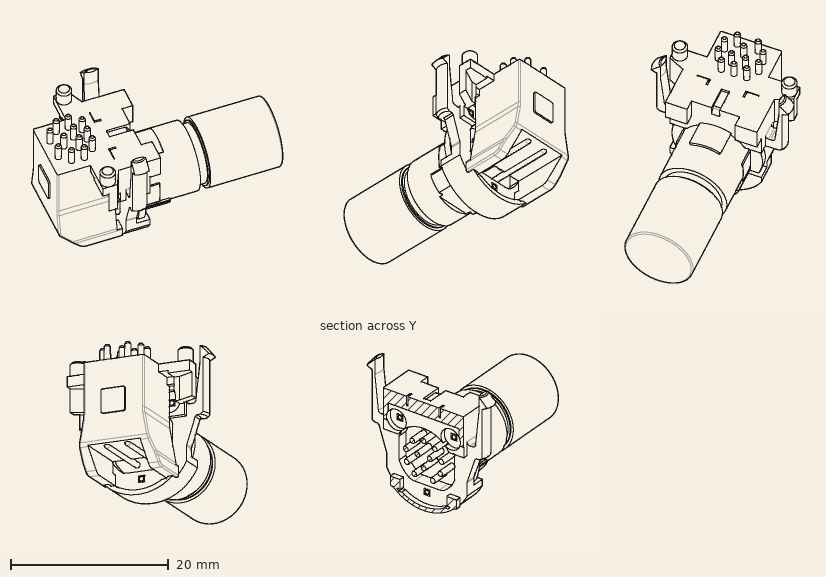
import cadquery as cq
import math


TOTAL_LENGTH = 30.8
TOTAL_WIDTH = 19.2
PAD_FRONT_Y = -0.15

SHELL_R = 4.68
COLLAR_R = 6.22
STEP_R = 4.3
STEP_LENGTH = 0.2
GROOVE_R = 4.0
SHELL_END_Y = PAD_FRONT_Y + TOTAL_LENGTH
BARREL_Y = 20.75
BODY_Y = 19.37
SHELL_FRONT_Y = 10.4
SHELL_EDGE = 0.2
FLAT_Z = -4.0
FLAT_END_Y = 15.85
KEY_R = 5.05
KEY_HALF_X = 4.6
KEY_FRONT_Y = 11.33
RIB_HALF_X = 2.2
RIB_ROOT_HALF_X = 1.9
RIB_ROOT_Z = 4.22
RIB_SIDE_Z = 4.62
RIB_END_Y = 15.35
SIDE_KEY_END_Y = 13.85
SIDE_KEY_HALF_Z = 1.65
LOWER_KEY_Z = -1.95

BRACKET_TOP_Z = 8.53
BRACKET_BOTTOM_Z = 2.5
BRACKET_HALF_X = 6.28
BRACKET_FRONT_Y = 7.85
BRACKET_BACK_Y = 11.85
OVERHANG_END_Y = 13.3
OVERHANG_Z = 5.48
OVERHANG_INNER_X = 3.3
TOP_SLOT_HALF_X = 0.55
TOP_SLOT_FLOOR = ((8.62, 8.15), (11.2, 8.15), (11.43, 7.95), (BRACKET_BACK_Y, 7.25))
EAR_HALF_X = 8.5
EAR_FRONT_Y = 4.55
EAR_BACK_Y = 6.53
EAR_ROOT_Y = 7.58
EAR_Z = 7.15
LEG_Z = 4.0
LEG_THICKNESS = 1.15
RELIEF_HALF_X = 5.5
RELIEF_STEP_Y = 7.15
RELIEF_STEP_Z = 6.5
RELIEF_TOP_Z = 7.48

FLANGE_R = 7.0
FLANGE_AXIS_Z = -0.37
FLANGE_FRONT_Y = 8.55
FLANGE_BACK_Y = 10.05
FLANGE_TOP_HALF_X = 7.7
FLANGE_SLOPE_HALF_X = 7.48
FLANGE_SLOPE_Z = 2.28
FLANGE_SIDE_R = 0.62
OPENING_HALF_X = 4.35
OPENING_R = 1.55
FLANGE_SIDE_Z = -1.4
FLANGE_STEP_Z = -BRACKET_BOTTOM_Z
RIM_FRONT_Y = 7.6
RIM_INNER_R = 6.35
RIM_TOP_Z = -5.48
RIM_CUT_Z = -5.75
RIM_CUT_HALF_X = 3.85

SOCKET_SIDE = 0.85
SOCKET_DEPTH = 0.3
PEG_R = 0.3
POCKET_R = 1.5
POCKET_X = 4.22
POCKET_Z = 4.5
LOWER_SOCKET_Z = -5.02

PLUG_FRONT_Y = 0.05
PLUG_HALF_X = 4.22
PLUG_FOOT_HALF_X = 5.17
PLUG_BACK_Y = 7.82
PLUG_BEND_Z = 1.25
PLUG_FOOT_Z = FLAT_Z
PLUG_BOTTOM_Z = RIM_TOP_Z
PLUG_SLOPE_Z = -2.4
PLUG_BEND_R = 4.62
PLUG_FOOT_R = 2.15
SLOPE_TOP_R = 0.8
SLOPE_BOTTOM_R = 1.4
PLUG_EDGE = 0.22
PLUG_SLOT_HALF_X = 3.63
PLUG_SLOT_Z = FLANGE_STEP_Z
JOINT_GAP = 0.077
JOINT_DEPTH = 1.4
TONGUE_HALF_X = 2.43
TONGUE_GAP = 0.22
TONGUE_END_Y = 8.65
PAD_HALF_X = 1.65
PAD_Z = (1.4, 4.62)
PAD_CORNER = 0.28

CONTACT_R = 0.4
CONTACT_TOP_Z = 10.87
CONTACT_TIP = 0.28
CONTACT_TIP_R = 0.23
OUTER_RING_R = 2.85
OUTER_PITCH = 37.5
INNER_RING_R = 1.1
ROW_Y = (1.3, 2.62, 4.3, 5.8)

GUIDE_R = 1.0
GUIDE_X = EAR_HALF_X - GUIDE_R
GUIDE_Y = 5.6
GUIDE_TOP_Z = 10.47
GUIDE_CHAMFER = 0.28

LATCH_HALF_Y = 1.0
LATCH_Y = FLANGE_FRONT_Y + LATCH_HALF_Y
LATCH_AXIS_X = 7.25
LATCH_OUTER_X = 8.9
BARB_X = TOTAL_WIDTH / 2
BARB_Z = 10.4
BARB_BASE_Z = 10.0
BARB_TOP = (8.6, 11.6)
LATCH_TOP_X = 8.38
LATCH_TOP_Z = 11.7
LATCH_EDGE = 0.3
LATCH_INNER_AXIS_X = 9.92
LATCH_INNER_TOP_X = 7.9
LATCH_INNER_ROOT_X = 7.4
LATCH_TAPER_Z = 9.55
LATCH_BASE_Z = 4.07
LATCH_BASE_R = 0.43


def box(x0, x1, y0, y1, z0, z1):
    return cq.Workplane("XY").box(x1 - x0, y1 - y0, z1 - z0, centered=False).translate((x0, y0, z0))


def centred_box(half_x, y0, y1, z0, z1):
    return box(-half_x, half_x, y0, y1, z0, z1)


def rod_y(radius, y0, y1, x=0, z=0):
    return cq.Workplane("XZ", origin=(x, y0, z)).circle(radius).extrude(y0 - y1)


def prism_y(outline, y0, y1):
    """Extrude an outline of (x, z) points from y0 to y1."""
    return cq.Workplane("XZ", origin=(0, y0, 0)).polyline(outline).close().extrude(y0 - y1)


def prism_z(outline, z0, z1):
    """Extrude an outline of (x, y) points from z0 to z1."""
    return cq.Workplane("XY", origin=(0, 0, z0)).polyline(outline).close().extrude(z1 - z0)


def mirrored(half):
    """The half on the +X side, and its mirror image."""
    return half.union(half.mirror("YZ"))


def symmetric_outline(right_side):
    return right_side + [(-x, v) for x, v in reversed(right_side)]


def shell():
    barrel = rod_y(SHELL_R, BARREL_Y, SHELL_END_Y).faces(">Y").edges().fillet(SHELL_EDGE)
    neck = rod_y(GROOVE_R, BODY_Y, BARREL_Y)
    step = rod_y(STEP_R, BARREL_Y - STEP_LENGTH, BARREL_Y)
    collar = rod_y(COLLAR_R, SHELL_FRONT_Y, KEY_FRONT_Y)
    body = rod_y(SHELL_R, KEY_FRONT_Y, BODY_Y)
    key_ring = rod_y(KEY_R, KEY_FRONT_Y, RIB_END_Y)
    rib_outline = symmetric_outline(
        [(RIB_ROOT_HALF_X, RIB_ROOT_Z), (RIB_HALF_X, RIB_SIDE_Z), (RIB_HALF_X, KEY_R)]
    )
    rib = key_ring.intersect(prism_y(rib_outline, KEY_FRONT_Y, RIB_END_Y))
    lower_keys = key_ring.intersect(centred_box(KEY_HALF_X, KEY_FRONT_Y, RIB_END_Y, -KEY_R, LOWER_KEY_Z))
    side_zone = centred_box(KEY_R, KEY_FRONT_Y, SIDE_KEY_END_Y, -SIDE_KEY_HALF_Z, SIDE_KEY_HALF_Z)
    side_keys = centred_box(KEY_HALF_X, KEY_FRONT_Y, SIDE_KEY_END_Y, -SIDE_KEY_HALF_Z, SIDE_KEY_HALF_Z)
    body = body.cut(side_zone).union(side_keys).union(rib).union(lower_keys)
    underside = centred_box(KEY_R, KEY_FRONT_Y, FLAT_END_Y, -KEY_R, FLAT_Z)
    return barrel.union(step).union(neck).union(body.cut(underside)).union(collar)


def bracket():
    block = centred_box(BRACKET_HALF_X, BRACKET_FRONT_Y, BRACKET_BACK_Y, BRACKET_BOTTOM_Z, BRACKET_TOP_Z)
    overhang = box(
        OVERHANG_INNER_X, BRACKET_HALF_X, BRACKET_FRONT_Y, OVERHANG_END_Y, OVERHANG_Z, BRACKET_TOP_Z
    )
    ear = [
        (0, BRACKET_FRONT_Y),
        (BRACKET_HALF_X, BRACKET_FRONT_Y),
        (BRACKET_HALF_X, EAR_ROOT_Y),
        (EAR_HALF_X, EAR_BACK_Y),
        (EAR_HALF_X, EAR_FRONT_Y),
        (0, EAR_FRONT_Y),
    ]
    leg_root_y = EAR_ROOT_Y - LEG_THICKNESS
    leg = [
        (0, BRACKET_FRONT_Y),
        (BRACKET_HALF_X, BRACKET_FRONT_Y),
        (BRACKET_HALF_X, EAR_ROOT_Y),
        (EAR_HALF_X, EAR_BACK_Y),
        (EAR_HALF_X, EAR_BACK_Y - LEG_THICKNESS),
        (BRACKET_HALF_X, leg_root_y),
        (0, leg_root_y),
    ]
    side = prism_z(ear, EAR_Z, BRACKET_TOP_Z).union(prism_z(leg, LEG_Z, EAR_Z)).union(overhang)
    body = block.union(mirrored(side))
    body = body.cut(
        centred_box(RELIEF_HALF_X, EAR_FRONT_Y, BRACKET_FRONT_Y, BRACKET_BOTTOM_Z, RELIEF_STEP_Z)
    )
    body = body.cut(
        centred_box(RELIEF_HALF_X, EAR_FRONT_Y, RELIEF_STEP_Y, RELIEF_STEP_Z, RELIEF_TOP_Z)
    )
    slot_mouth = [(BRACKET_BACK_Y, BRACKET_TOP_Z), (TOP_SLOT_FLOOR[0][0], BRACKET_TOP_Z)]
    slot = (
        cq.Workplane("YZ")
        .polyline(list(TOP_SLOT_FLOOR) + slot_mouth)
        .close()
        .extrude(TOP_SLOT_HALF_X, both=True)
    )
    return body.cut(slot)


def flange():
    disc = rod_y(FLANGE_R, RIM_FRONT_Y, BRACKET_BACK_Y, z=FLANGE_AXIS_Z)
    bottom = FLANGE_AXIS_Z - FLANGE_R
    lower = disc.intersect(
        centred_box(BRACKET_HALF_X, FLANGE_FRONT_Y, BRACKET_BACK_Y, bottom, FLANGE_STEP_Z)
    )
    shoulders = prism_y(
        symmetric_outline(
            [
                (BRACKET_HALF_X, FLANGE_STEP_Z),
                (BRACKET_HALF_X, FLANGE_SIDE_Z),
                (FLANGE_SLOPE_HALF_X, FLANGE_SLOPE_Z),
                (FLANGE_TOP_HALF_X, BRACKET_BOTTOM_Z),
            ]
        ),
        FLANGE_FRONT_Y,
        FLANGE_BACK_Y,
    )
    for x in (-BRACKET_HALF_X, BRACKET_HALF_X):
        corner = cq.selectors.NearestToPointSelector((x, LATCH_Y, FLANGE_SIDE_Z))
        shoulders = shoulders.edges("|Y").edges(corner).fillet(FLANGE_SIDE_R)
    rim = disc.intersect(centred_box(FLANGE_R, RIM_FRONT_Y, FLANGE_FRONT_Y, bottom, RIM_TOP_Z))
    rim = rim.cut(rod_y(RIM_INNER_R, RIM_FRONT_Y, FLANGE_FRONT_Y, z=FLANGE_AXIS_Z))
    bevel_x = RIM_CUT_HALF_X + RIM_TOP_Z - RIM_CUT_Z
    rim_ends = prism_y(
        symmetric_outline([(RIM_CUT_HALF_X, RIM_CUT_Z), (bevel_x, RIM_TOP_Z)]),
        RIM_FRONT_Y,
        FLANGE_FRONT_Y,
    )
    return lower.union(shoulders).union(rim.cut(rim_ends))


def contact_opening():
    """Clear space for the contacts, from the front of the bracket to the shell."""
    opening = rod_y(SHELL_R, BRACKET_FRONT_Y, SHELL_FRONT_Y)
    opening = opening.intersect(
        centred_box(OPENING_HALF_X, BRACKET_FRONT_Y, SHELL_FRONT_Y, FLAT_Z, SHELL_R)
    )
    return opening.faces("<Z").edges("|Y").fillet(OPENING_R)


def socket(x, z, face_y):
    half = SOCKET_SIDE / 2
    hole = box(x - half, x + half, face_y, face_y + SOCKET_DEPTH, z - half, z + half)
    return hole.cut(rod_y(PEG_R, face_y, face_y + SOCKET_DEPTH, x, z))


def plug():
    outline = symmetric_outline(
        [
            (PLUG_FOOT_HALF_X, PLUG_BOTTOM_Z),
            (PLUG_FOOT_HALF_X, PLUG_FOOT_Z),
            (PLUG_HALF_X, PLUG_BEND_Z),
            (PLUG_HALF_X, BRACKET_TOP_Z),
        ]
    )
    body = prism_y(outline, PLUG_FRONT_Y, FLANGE_FRONT_Y)
    mid_y = (PLUG_FRONT_Y + FLANGE_FRONT_Y) / 2
    for x, z, radius in (
        (PLUG_HALF_X, PLUG_BEND_Z, PLUG_BEND_R),
        (PLUG_FOOT_HALF_X, PLUG_FOOT_Z, PLUG_FOOT_R),
    ):
        for side_x in (-x, x):
            bend = cq.selectors.NearestToPointSelector((side_x, mid_y, z))
            body = body.edges("|Y").edges(bend).fillet(radius)

    slope_y = PLUG_FRONT_Y + PLUG_SLOPE_Z - PLUG_BOTTOM_Z
    side_profile = (
        cq.Workplane("YZ")
        .moveTo(PLUG_FRONT_Y, BRACKET_TOP_Z)
        .lineTo(PLUG_FRONT_Y, PLUG_SLOPE_Z)
        .lineTo(slope_y, PLUG_BOTTOM_Z)
        .lineTo(FLANGE_FRONT_Y, PLUG_BOTTOM_Z)
        .lineTo(FLANGE_FRONT_Y, PLUG_FOOT_Z)
        .lineTo(PLUG_BACK_Y, PLUG_FOOT_Z)
        .lineTo(PLUG_BACK_Y, BRACKET_TOP_Z)
        .close()
        .extrude(PLUG_FOOT_HALF_X, both=True)
    )
    slope_top = cq.selectors.NearestToPointSelector((0, PLUG_FRONT_Y, PLUG_SLOPE_Z))
    slope_bottom = cq.selectors.NearestToPointSelector((0, slope_y, PLUG_BOTTOM_Z))
    side_profile = side_profile.edges("|X").edges(slope_top).fillet(SLOPE_TOP_R)
    side_profile = side_profile.edges("|X").edges(slope_bottom).fillet(SLOPE_BOTTOM_R)
    body = body.intersect(side_profile)
    body = body.faces("<Y").edges("|Z").fillet(PLUG_EDGE)
    return body.cut(centred_box(PLUG_SLOT_HALF_X, PLUG_FRONT_Y, FLANGE_FRONT_Y, PLUG_BOTTOM_Z, PLUG_SLOT_Z))


def front_pad():
    pad = centred_box(PAD_HALF_X, PAD_FRONT_Y, PLUG_FRONT_Y, *PAD_Z)
    return pad.edges("|Y").fillet(PAD_CORNER)


def joint_grooves():
    """Narrow gaps in the top where the plug and its tongue sit in the bracket."""
    floor_z = BRACKET_TOP_Z - JOINT_DEPTH
    start_y = PLUG_BACK_Y - JOINT_GAP
    tongue_outer_x = TONGUE_HALF_X + TONGUE_GAP
    cross = box(tongue_outer_x, PLUG_HALF_X, start_y, PLUG_BACK_Y, floor_z, BRACKET_TOP_Z)
    along = box(TONGUE_HALF_X, tongue_outer_x, start_y, TONGUE_END_Y, floor_z, BRACKET_TOP_Z)
    return mirrored(cross.union(along))


def contact(x, z, row_y):
    """A round pin from the shell, bent upwards at row_y, with a coned tip."""
    shoulder_z = CONTACT_TOP_Z - CONTACT_TIP
    upright = (
        cq.Workplane("XZ", origin=(x, row_y, 0))
        .moveTo(0, z)
        .lineTo(CONTACT_R, z)
        .lineTo(CONTACT_R, shoulder_z)
        .lineTo(CONTACT_TIP_R, CONTACT_TOP_Z)
        .lineTo(0, CONTACT_TOP_Z)
        .close()
        .revolve(360, (0, 0, 0), (0, 1, 0))
    )
    elbow = cq.Workplane("XY", origin=(x, row_y, z)).sphere(CONTACT_R)
    return upright.union(elbow).union(rod_y(CONTACT_R, row_y, SHELL_FRONT_Y, x, z))


def contacts():
    """The higher a contact sits in its ring, the further back its upright stands."""
    first, second, third, last = ROW_Y
    outer_rows = (first, second, third, last, last, last, third, second, first)
    outer = [(90 + step * OUTER_PITCH, row_y) for step, row_y in zip(range(-4, 5), outer_rows)]
    inner = [(30, third), (150, third), (270, second)]
    group = cq.Workplane("XY")
    for radius, ring in ((OUTER_RING_R, outer), (INNER_RING_R, inner)):
        for degrees, row_y in ring:
            angle = math.radians(degrees)
            group = group.add(contact(radius * math.cos(angle), radius * math.sin(angle), row_y))
    return group.combine()


def guide_posts():
    post = (
        cq.Workplane("XY", origin=(GUIDE_X, GUIDE_Y, EAR_Z))
        .circle(GUIDE_R)
        .extrude(GUIDE_TOP_Z - EAR_Z)
        .faces(">Z")
        .chamfer(GUIDE_CHAMFER)
    )
    return mirrored(post)


def latches():
    """Tapered spring arms with a rounded barb on the outside."""
    profile = [
        (LATCH_AXIS_X, BRACKET_BOTTOM_Z),
        (LATCH_OUTER_X - LATCH_EDGE, BRACKET_BOTTOM_Z),
        (LATCH_OUTER_X, BRACKET_BOTTOM_Z + LATCH_EDGE),
        (LATCH_OUTER_X, BARB_BASE_Z),
        (BARB_X, BARB_Z),
        BARB_TOP,
        (LATCH_TOP_X, LATCH_TOP_Z),
        (LATCH_AXIS_X, LATCH_TOP_Z),
    ]
    outer = (
        cq.Workplane("XZ", origin=(0, LATCH_Y, 0))
        .polyline(profile)
        .close()
        .revolve(360, (LATCH_AXIS_X, 0, 0), (LATCH_AXIS_X, 1, 0))
    )
    root_r = LATCH_INNER_AXIS_X - LATCH_INNER_ROOT_X
    top_r = LATCH_INNER_AXIS_X - LATCH_INNER_TOP_X
    inner = (
        cq.Workplane("XZ", origin=(LATCH_INNER_AXIS_X, LATCH_Y, 0))
        .moveTo(0, BRACKET_BOTTOM_Z)
        .lineTo(root_r + LATCH_BASE_R, BRACKET_BOTTOM_Z)
        .lineTo(root_r + LATCH_BASE_R, LATCH_BASE_Z)
        .radiusArc((root_r, LATCH_BASE_Z + LATCH_BASE_R), LATCH_BASE_R)
        .lineTo(top_r, LATCH_TAPER_Z)
        .lineTo(top_r, LATCH_TOP_Z)
        .lineTo(0, LATCH_TOP_Z)
        .close()
        .revolve(360, (0, 0, 0), (0, 1, 0))
    )
    width = (LATCH_Y - LATCH_HALF_Y, LATCH_Y + LATCH_HALF_Y)
    arm = outer.intersect(inner).intersect(box(0, BARB_X, *width, BRACKET_BOTTOM_Z, LATCH_TOP_Z))
    base = (
        cq.Workplane("XZ", origin=(0, width[0], 0))
        .moveTo(BRACKET_HALF_X, BRACKET_BOTTOM_Z)
        .lineTo(BRACKET_HALF_X, LATCH_BASE_Z + LATCH_BASE_R)
        .radiusArc((BRACKET_HALF_X + LATCH_BASE_R, LATCH_BASE_Z), -LATCH_BASE_R)
        .lineTo(FLANGE_TOP_HALF_X, LATCH_BASE_Z)
        .lineTo(FLANGE_TOP_HALF_X, BRACKET_BOTTOM_Z)
        .close()
        .extrude(width[0] - width[1])
    )
    return mirrored(arm.union(base))


result = bracket().union(flange()).cut(contact_opening())
for side in (-1, 1):
    pocket = rod_y(POCKET_R, EAR_FRONT_Y, FLANGE_FRONT_Y, side * POCKET_X, POCKET_Z)
    result = result.cut(pocket).cut(socket(side * POCKET_X, POCKET_Z, FLANGE_FRONT_Y))
result = result.cut(socket(0, LOWER_SOCKET_Z, FLANGE_FRONT_Y))
result = result.union(plug()).cut(joint_grooves()).union(front_pad())
result = result.union(shell()).union(latches()).union(guide_posts()).union(contacts())